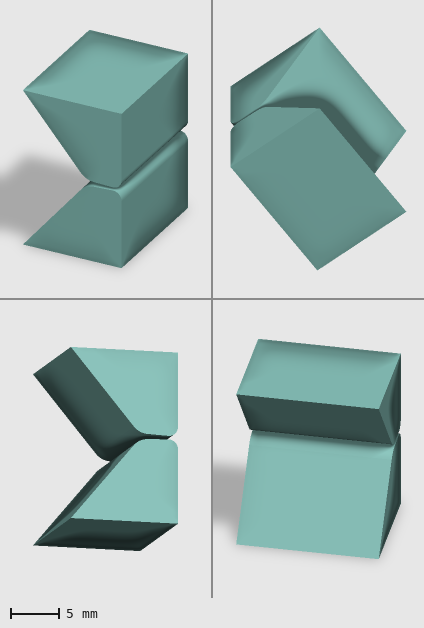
import cadquery as cq
import math

width = 11.45
depth = 15.0
height = 18.0

ramp_angle = 50.0
lip_angle = 2.25
lip_gap = 0.285
ramp_fillet = 2.0
back_fillet = 1.0

half_height = height / 2
lip_back_z = -lip_gap / 2
ramp_slope = math.tan(math.radians(ramp_angle))
lip_slope = math.tan(math.radians(lip_angle))

corner_x = (lip_back_z + half_height - lip_slope * width) / (ramp_slope - lip_slope)
corner_z = ramp_slope * corner_x - half_height


def make_lower_jaw():
    """Wedge with a ramp on -X, a nearly flat lip on top and a vertical back on +X."""
    jaw = (
        cq.Workplane("XZ")
        .polyline([
            (0, -half_height),
            (width, -half_height),
            (width, lip_back_z),
            (corner_x, corner_z),
        ])
        .close()
        .extrude(depth / 2, both=True)
    )
    jaw = jaw.edges(cq.NearestToPointSelector((corner_x, 0, corner_z))).fillet(ramp_fillet)
    return jaw.edges(cq.NearestToPointSelector((width, 0, lip_back_z))).fillet(back_fillet)


lower_jaw = make_lower_jaw()
upper_jaw = lower_jaw.mirror("XY")

result = cq.Compound.makeCompound([lower_jaw.val(), upper_jaw.val()])